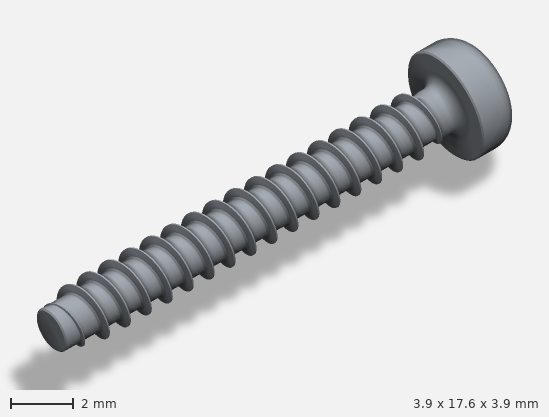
import cadquery as cq
import math

overall_length = 17.6
head_diameter = 3.9
head_height = 1.6
dome_height = 0.81
rim_chamfer = 0.05

core_radius = 0.77
neck_radius = 0.83
neck_fillet = 0.37
neck_length = 0.55
neck_taper = 0.32
tip_chamfer = 0.05

crest_radius = 1.1
crest_width = 0.05
shoulder_radius = 0.83
shoulder_reach = 0.09
head_foot_reach = 0.32
tip_foot_reach = 0.15
full_start = 1.32
full_length = 13.4
full_turns = 15.75
runout_turns = 1.4
runout_flattening = 0.95
runout_narrowing = 0.8
points_per_turn = 16

head_radius = head_diameter / 2
shank_length = overall_length - head_height
pitch = full_length / full_turns
base_radius = 2 * core_radius - shoulder_radius


def turned_body():
    """Head, neck and core, revolved about Y with the head seat at Y = 0."""
    half_diagonal = math.sqrt(0.5)
    dome_mid = (
        head_radius - dome_height * (1 - half_diagonal),
        head_height - dome_height * (1 - half_diagonal),
    )
    fillet_mid = (
        neck_radius + neck_fillet * (1 - half_diagonal),
        -neck_fillet * (1 - half_diagonal),
    )
    return (
        cq.Workplane("XY")
        .moveTo(0, head_height)
        .lineTo(head_radius - dome_height, head_height)
        .threePointArc(dome_mid, (head_radius, head_height - dome_height))
        .lineTo(head_radius, rim_chamfer)
        .lineTo(head_radius - rim_chamfer, 0)
        .lineTo(neck_radius + neck_fillet, 0)
        .threePointArc(fillet_mid, (neck_radius, -neck_fillet))
        .lineTo(neck_radius, -neck_length)
        .lineTo(core_radius, -neck_length - neck_taper)
        .lineTo(core_radius, tip_chamfer - shank_length)
        .lineTo(core_radius - tip_chamfer, -shank_length)
        .lineTo(0, -shank_length)
        .close()
        .revolve(360, (0, 0, 0), (0, 1, 0))
    )


def runout_fraction(turn):
    """0 along the full thread, growing evenly to 1 at either end of it."""
    return max(-turn, turn - full_turns, 0) / runout_turns


def thread_edge(radius, offset, first_turn, last_turn):
    """Right-hand helical edge of one section corner; turn 0 lies on the -X side.

    Along the run-outs the section flattens into the core and narrows.
    """
    count = math.ceil((last_turn - first_turn) * points_per_turn)
    points = []
    for step in range(count + 1):
        turn = first_turn + (last_turn - first_turn) * step / count
        angle = 2 * math.pi * turn
        fraction = runout_fraction(turn)
        local_radius = base_radius + (radius - base_radius) * (1 - runout_flattening * fraction)
        local_offset = offset * (1 - runout_narrowing * fraction)
        points.append(
            cq.Vector(
                -local_radius * math.cos(angle),
                local_offset - full_start - pitch * turn,
                -local_radius * math.sin(angle),
            )
        )
    return cq.Edge.makeSpline(points)


def thread():
    """One solid thread: ruled flanks between its corner edges, stretch by stretch, with flat ends."""
    head_base_reach = 2 * head_foot_reach - shoulder_reach
    tip_base_reach = 2 * tip_foot_reach - shoulder_reach
    section = [
        (base_radius, -tip_base_reach),
        (shoulder_radius, -shoulder_reach),
        (crest_radius, -crest_width / 2),
        (crest_radius, crest_width / 2),
        (shoulder_radius, shoulder_reach),
        (base_radius, head_base_reach),
    ]
    full_stretches = math.floor(full_turns)
    limits = [full_turns * i / full_stretches for i in range(full_stretches + 1)]
    limits = [-runout_turns] + limits + [full_turns + runout_turns]

    stretches = []
    for first, last in zip(limits, limits[1:]):
        stretches.append([thread_edge(r, offset, first, last) for r, offset in section])

    faces = []
    for edges in stretches:
        following = edges[1:] + edges[:1]
        faces += [cq.Face.makeRuledSurface(a, b) for a, b in zip(edges, following)]
    start_corners = [edge.startPoint() for edge in stretches[0]]
    end_corners = [edge.endPoint() for edge in stretches[-1]]
    for corners in (start_corners, end_corners):
        faces.append(cq.Face.makeFromWires(cq.Wire.makePolygon(corners, close=True)))
    return cq.Workplane(obj=cq.Solid.makeSolid(cq.Shell.makeShell(faces)))


result = turned_body().union(thread())